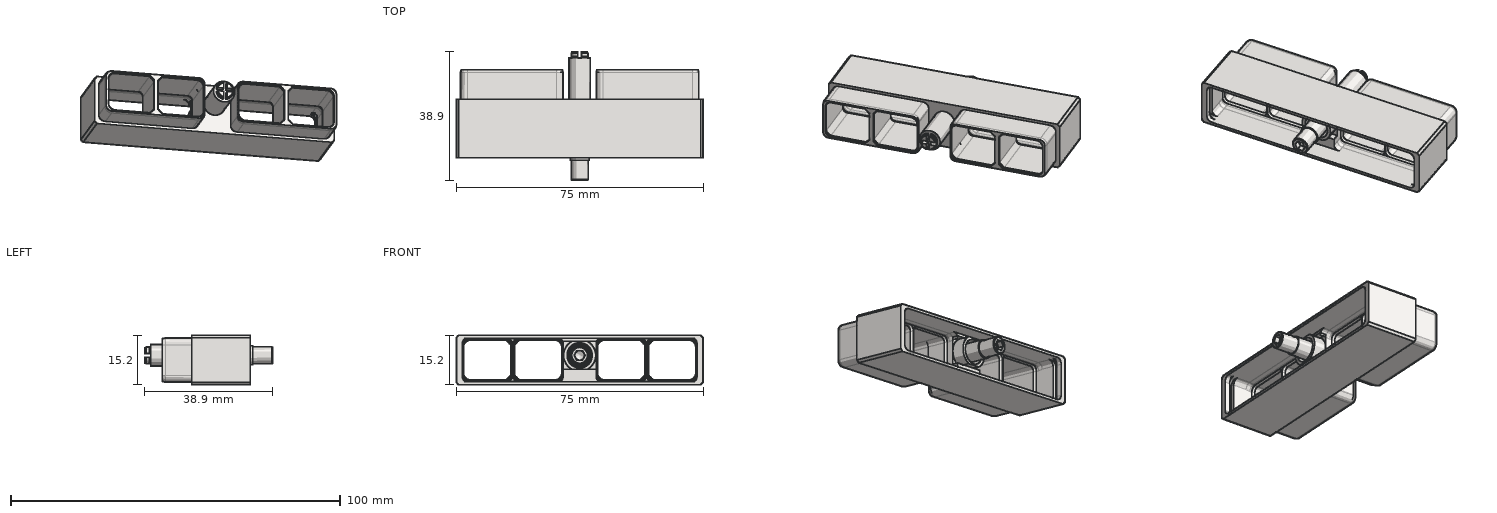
import cadquery as cq
import math

BODY_WIDTH = 74.95
BODY_DEPTH = 17.85
BODY_HEIGHT = 15.15
BODY_CHAMFER = 0.75

MOUTH_WIDTH = 71.35
MOUTH_HEIGHT = 13.35
CORNER_RADIUS = 1.7
BLOCK_FRONT = 5.8
BLOCK_HALF_WIDTH = 5.0

GROOVE_START = 1.7
GROOVE_END = 3.3
GROOVE_REACH = 1.3

POCKET_DEPTH = 7.9
RAMP_LENGTH = 1.4
RAMP_RISE = 0.2
WEB_FRONT = 10.1
WEB_FRONT_THICKNESS = 0.3
WINDOW_RADIUS = 1.5
WINDOW_FUNNEL_LENGTH = 0.9
WINDOW_FUNNEL_INSET = 0.3
LIP_LENGTH = 0.9
LIP_INSET = 0.15
LIP_RADIUS = 1.95
WEB_CHAMFER = 1.35

HOUSING_WIDTH = 31.2
HOUSING_HEIGHT = 13.4
HOUSING_LENGTH = 9.0
HOUSING_CENTER = 20.6
HOUSING_RADIUS = 2.0
HOUSING_TAPER_LENGTH = 0.9
HOUSING_TAPER_INSET = 0.2

SCREW_Z = 1.4
RECESS_BOTTOM = -2.85
RECESS_TOP = 5.8
RECESS_FLOOR = POCKET_DEPTH
BOSS_RADIUS = 4.9
BOSS_FRONT = 3.75
BORE_RADIUS = 3.8
BORE_FLOOR_RADIUS = 3.4
BORE_DEPTH = 3.0

SCREW_RADIUS = 2.6
SCREW_FRONT_LENGTH = 6.75
SCREW_END_CHAMFER = 0.2
COLLAR_RADIUS = 2.9
COLLAR_LENGTH = 0.75
SLEEVE_RADIUS = 3.3
SLEEVE_LENGTH = 12.5
TIP_RADIUS = 2.4
TIP_LENGTH = 1.8
TIP_RING_START = 0.45
TIP_RING_LENGTH = 0.9
TIP_SLOT_WIDTH = 1.05
SOCKET_DIAMETER = 3.4
SOCKET_DEPTH = 1.9
SOCKET_CONE_DEPTH = 1.0

HOUSING_END = BODY_DEPTH + HOUSING_LENGTH
SLEEVE_END = BODY_DEPTH + SLEEVE_LENGTH
TIP_END = SLEEVE_END + TIP_LENGTH
LIP_START = HOUSING_END - LIP_LENGTH
POCKET_OUTER = MOUTH_WIDTH / 2
POCKET_WIDTH = POCKET_OUTER - BLOCK_HALF_WIDTH
WEB_CENTER = (BLOCK_HALF_WIDTH + POCKET_OUTER) / 2


def rounded(left, right, height, radius):
    """Rounded rectangle from x = left to x = right, centred on z = 0 (sketch x is Z, sketch y is X)."""
    outline = cq.Sketch().rect(height, right - left)
    return outline.vertices().fillet(radius).reset().moved(cq.Location((0, (left + right) / 2, 0)))


def window_outline(side, inset):
    """Rounded window on one side of the web (side = -1 or 1)."""
    web_face = WEB_CENTER + side * (WEB_FRONT_THICKNESS / 2 + inset)
    pocket_end = WEB_CENTER + side * (POCKET_WIDTH / 2 - inset)
    height = MOUTH_HEIGHT - 2 * (RAMP_RISE + inset)
    return rounded(min(web_face, pocket_end), max(web_face, pocket_end), height, WINDOW_RADIUS)


def lip_outline(side):
    """Opening left by the lip behind a window: rounded at the pocket end, bevelled at the web."""
    inset = WINDOW_FUNNEL_INSET + LIP_INSET
    web_face = WEB_FRONT_THICKNESS / 2 + inset
    pocket_end = POCKET_WIDTH / 2 - inset
    half_height = MOUTH_HEIGHT / 2 - RAMP_RISE - inset
    points = [
        (-half_height, pocket_end),
        (half_height, pocket_end),
        (half_height, web_face + WEB_CHAMFER),
        (half_height - WEB_CHAMFER, web_face),
        (WEB_CHAMFER - half_height, web_face),
        (-half_height, web_face + WEB_CHAMFER),
    ]
    points = [(z, WEB_CENTER + side * x) for z, x in points]
    outline = cq.Sketch().polygon(points + points[:1])
    pocket_end_corners = ">Y" if side > 0 else "<Y"
    return outline.vertices(pocket_end_corners).fillet(LIP_RADIUS).reset()


def prism(outline, start, end):
    """Solid with the given outline from depth start to depth end."""
    return cq.Workplane("ZX", origin=(0, start, 0)).placeSketch(outline).extrude(end - start)


def funnel(start_outline, end_outline, start, end):
    """Tapering solid from one outline to another."""
    far_outline = end_outline.moved(cq.Location((0, 0, end - start)))
    return cq.Workplane("ZX", origin=(0, start, 0)).placeSketch(start_outline, far_outline).loft()


def rod(radius, start, end):
    """Cylinder along Y on the screw axis."""
    return cq.Workplane("ZX", origin=(0, start, SCREW_Z)).circle(radius).extrude(end - start)


def make_body():
    body = cq.Workplane("ZX").rect(BODY_HEIGHT, BODY_WIDTH).extrude(BODY_DEPTH)
    return body.edges("|Y").chamfer(BODY_CHAMFER)


def make_housing():
    """Right-hand housing: a rounded block with a slightly tapered end."""
    left = HOUSING_CENTER - HOUSING_WIDTH / 2
    right = HOUSING_CENTER + HOUSING_WIDTH / 2
    base = rounded(left, right, HOUSING_HEIGHT, HOUSING_RADIUS)
    end = rounded(
        left + HOUSING_TAPER_INSET,
        right - HOUSING_TAPER_INSET,
        HOUSING_HEIGHT - 2 * HOUSING_TAPER_INSET,
        HOUSING_RADIUS - HOUSING_TAPER_INSET,
    )
    taper_start = HOUSING_END - HOUSING_TAPER_LENGTH
    return prism(base, BODY_DEPTH, taper_start).union(funnel(base, end, taper_start, HOUSING_END))


def make_mouth():
    """Recess in front of the middle block, with an undercut groove at both ends."""
    mouth = prism(rounded(-POCKET_OUTER, POCKET_OUTER, MOUTH_HEIGHT, CORNER_RADIUS), 0, BLOCK_FRONT)
    groove_end = POCKET_OUTER + GROOVE_REACH
    groove = rounded(-groove_end, groove_end, MOUTH_HEIGHT, CORNER_RADIUS)
    return mouth.union(prism(groove, GROOVE_START, GROOVE_END))


def make_pocket():
    """Right-hand pocket: straight, then ramped above and below, then two windows beside a web."""
    opening = rounded(BLOCK_HALF_WIDTH, POCKET_OUTER, MOUTH_HEIGHT, CORNER_RADIUS)
    throat = rounded(BLOCK_HALF_WIDTH, POCKET_OUTER, MOUTH_HEIGHT - 2 * RAMP_RISE, CORNER_RADIUS)
    ramp_end = POCKET_DEPTH + RAMP_LENGTH
    pocket = prism(opening, BLOCK_FRONT, POCKET_DEPTH)
    pocket = pocket.union(funnel(opening, throat, POCKET_DEPTH, ramp_end))
    pocket = pocket.union(prism(throat, ramp_end, WEB_FRONT))
    window_start = WEB_FRONT + WINDOW_FUNNEL_LENGTH
    for side in (-1, 1):
        entry = window_outline(side, 0)
        window = window_outline(side, WINDOW_FUNNEL_INSET)
        pocket = pocket.union(funnel(entry, window, WEB_FRONT, window_start))
        pocket = pocket.union(prism(window, window_start, LIP_START))
        pocket = pocket.union(prism(lip_outline(side), LIP_START, HOUSING_END))
    return pocket


def recess_block(start):
    """Block the width and height of the screw recess, from depth start to the recess floor."""
    return cq.Workplane("XY", origin=(0, start, RECESS_BOTTOM)).box(
        2 * BLOCK_HALF_WIDTH,
        RECESS_FLOOR - start,
        RECESS_TOP - RECESS_BOTTOM,
        centered=(True, False, False),
    )


def make_boss():
    """Round boss cut flat above and below, standing on the recess floor."""
    return rod(BOSS_RADIUS, BOSS_FRONT, RECESS_FLOOR).intersect(recess_block(BOSS_FRONT))


def cone(start_radius, end_radius, start, length):
    """Cone or cone frustum along Y on the screw axis."""
    base = cq.Vector(0, start, SCREW_Z)
    return cq.Workplane(obj=cq.Solid.makeCone(start_radius, end_radius, length, base, cq.Vector(0, 1, 0)))


def make_screw():
    """Screw running the full length, with a hexagon socket in front and a cross-slotted tip behind."""
    bore_floor = BOSS_FRONT + BORE_DEPTH
    shank = rod(SCREW_RADIUS, -SCREW_FRONT_LENGTH, bore_floor).faces("<Y").chamfer(SCREW_END_CHAMFER)
    screw = shank.union(rod(COLLAR_RADIUS, -COLLAR_LENGTH, bore_floor))
    screw = screw.union(rod(SLEEVE_RADIUS, BODY_DEPTH, SLEEVE_END))
    ring_end = TIP_END - TIP_RING_START
    tip = rod(TIP_RADIUS, SLEEVE_END, TIP_END).union(rod(SCREW_RADIUS, ring_end - TIP_RING_LENGTH, ring_end))
    for slot_size in ((TIP_SLOT_WIDTH, 2 * SCREW_RADIUS), (2 * SCREW_RADIUS, TIP_SLOT_WIDTH)):
        slot = cq.Workplane("ZX", origin=(0, SLEEVE_END, SCREW_Z)).rect(*slot_size).extrude(TIP_LENGTH)
        tip = tip.cut(slot)
    return screw.union(tip)


def make_socket():
    """Hexagon socket, with two corners on X, and a conical floor."""
    socket_floor = SOCKET_DEPTH - SCREW_FRONT_LENGTH
    hexagon = (
        cq.Workplane("XZ", origin=(0, socket_floor, SCREW_Z))
        .polygon(6, SOCKET_DIAMETER)
        .extrude(SOCKET_DEPTH)
    )
    inner_radius = SOCKET_DIAMETER * math.sqrt(3) / 4
    return hexagon.union(cone(inner_radius, 0, socket_floor, SOCKET_CONE_DEPTH))


housing = make_housing()
pocket = make_pocket()
result = make_body().cut(make_mouth())
result = result.union(housing).union(housing.mirror("YZ"))
result = result.cut(pocket).cut(pocket.mirror("YZ"))
result = result.cut(recess_block(BLOCK_FRONT)).union(make_boss())
result = result.cut(cone(BORE_RADIUS, BORE_FLOOR_RADIUS, BOSS_FRONT, BORE_DEPTH))
result = result.union(make_screw()).cut(make_socket())